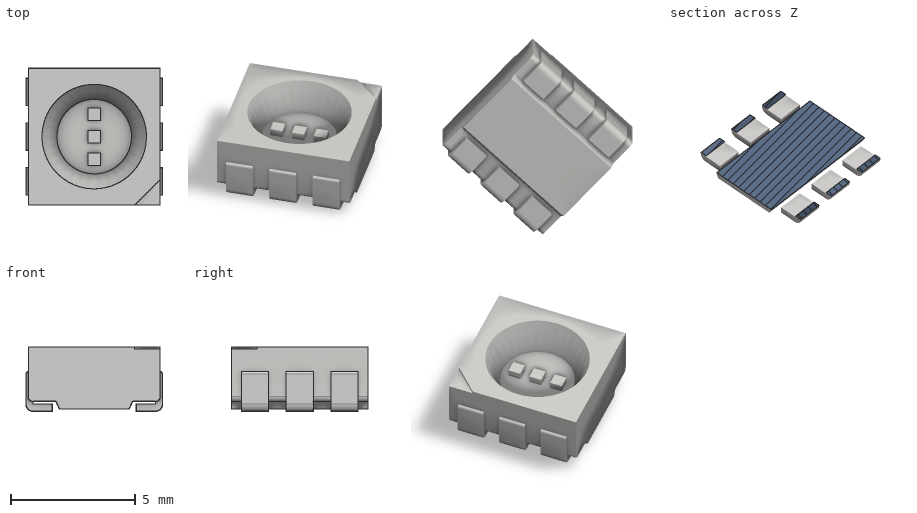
import cadquery as cq
import math

overall_width = 5.5
housing_length = 5.5
overall_height = 2.6

lead_thickness = 0.1
lead_width = 1.1
lead_pitch = 1.8
lead_top = 1.6
lead_bend_radius = 0.3
foot_thickness = 0.3
foot_length = 1.065

housing_width = overall_width - 2 * lead_thickness
housing_bottom = 0.1
shelf_height = 0.4
lower_edge_radius = 0.2
plinth_top_width = 3.08
plinth_bottom_width = 2.805
corner_mark_side = 1.025
corner_mark_depth = 0.1

cup_top_diameter = 4.2
cup_floor_diameter = 3.0
cup_depth = 1.2
cup_floor = overall_height - cup_depth

chip_side = 0.5
chip_height = 0.3
chip_pitch = 0.9

row_positions = (-1, 0, 1)
half_width = housing_width / 2
half_length = housing_length / 2


def quarter_arc_midpoint(center_x, center_z, radius, x_sign, z_sign):
    """Midpoint of a quarter circle lying in the given quadrant of its center."""
    offset = radius * math.sqrt(0.5)
    return (center_x + x_sign * offset, center_z + z_sign * offset)


def make_housing_block():
    """Block with rounded lower long edges and a tapered plinth underneath."""
    arc_x = half_width - lower_edge_radius
    arc_z = shelf_height + lower_edge_radius
    right_arc = quarter_arc_midpoint(arc_x, arc_z, lower_edge_radius, 1, -1)
    left_arc = quarter_arc_midpoint(-arc_x, arc_z, lower_edge_radius, -1, -1)
    return (
        cq.Workplane("XZ")
        .moveTo(-half_width, overall_height)
        .lineTo(half_width, overall_height)
        .lineTo(half_width, arc_z)
        .threePointArc(right_arc, (arc_x, shelf_height))
        .lineTo(plinth_top_width / 2, shelf_height)
        .lineTo(plinth_bottom_width / 2, housing_bottom)
        .lineTo(-plinth_bottom_width / 2, housing_bottom)
        .lineTo(-plinth_top_width / 2, shelf_height)
        .lineTo(-arc_x, shelf_height)
        .threePointArc(left_arc, (-half_width, arc_z))
        .close()
        .extrude(half_length, both=True)
    )


def make_cup():
    """Conical cavity, wider at the top."""
    return cq.Workplane(
        cq.Solid.makeCone(
            cup_floor_diameter / 2,
            cup_top_diameter / 2,
            cup_depth,
            pnt=cq.Vector(0, 0, cup_floor),
        )
    )


def make_corner_mark():
    """Shallow triangular step that marks the +X, -Y corner."""
    return (
        cq.Workplane("XY", origin=(0, 0, overall_height - corner_mark_depth))
        .moveTo(half_width, -half_length)
        .lineTo(half_width, -half_length + corner_mark_side)
        .lineTo(half_width - corner_mark_side, -half_length)
        .close()
        .extrude(corner_mark_depth)
    )


def make_lead(center_y):
    """Lead on the -X side: follows the housing wall down and folds into a foot."""
    outer_x = -overall_width / 2
    wall_x = -half_width
    arc_x = wall_x + lower_edge_radius
    arc_z = shelf_height + lower_edge_radius
    top_round = quarter_arc_midpoint(wall_x, lead_top - lead_thickness, lead_thickness, -1, 1)
    bend_x = outer_x + lead_bend_radius
    outer_bend = quarter_arc_midpoint(bend_x, lead_bend_radius, lead_bend_radius, -1, -1)
    housing_bend = quarter_arc_midpoint(arc_x, arc_z, lower_edge_radius, -1, -1)
    return (
        cq.Workplane("XZ", origin=(0, center_y, 0))
        .moveTo(wall_x, lead_top)
        .threePointArc(top_round, (outer_x, lead_top - lead_thickness))
        .lineTo(outer_x, lead_bend_radius)
        .threePointArc(outer_bend, (bend_x, 0))
        .lineTo(outer_x + foot_length, 0)
        .lineTo(outer_x + foot_length, foot_thickness)
        .lineTo(arc_x, foot_thickness)
        .lineTo(arc_x, shelf_height)
        .threePointArc(housing_bend, (wall_x, arc_z))
        .close()
        .extrude(lead_width / 2, both=True)
    )


def make_chip(center_y):
    """Square chip standing on the cup floor."""
    return (
        cq.Workplane("XY", origin=(0, center_y, cup_floor))
        .rect(chip_side, chip_side)
        .extrude(chip_height)
    )


housing = make_housing_block().cut(make_cup()).cut(make_corner_mark())

leads = []
chips = []
for position in row_positions:
    left_lead = make_lead(position * lead_pitch)
    leads.append(left_lead.val())
    leads.append(left_lead.mirror("YZ").val())
    chips.append(make_chip(position * chip_pitch).val())

result = cq.Compound.makeCompound([housing.val(), *leads, *chips])